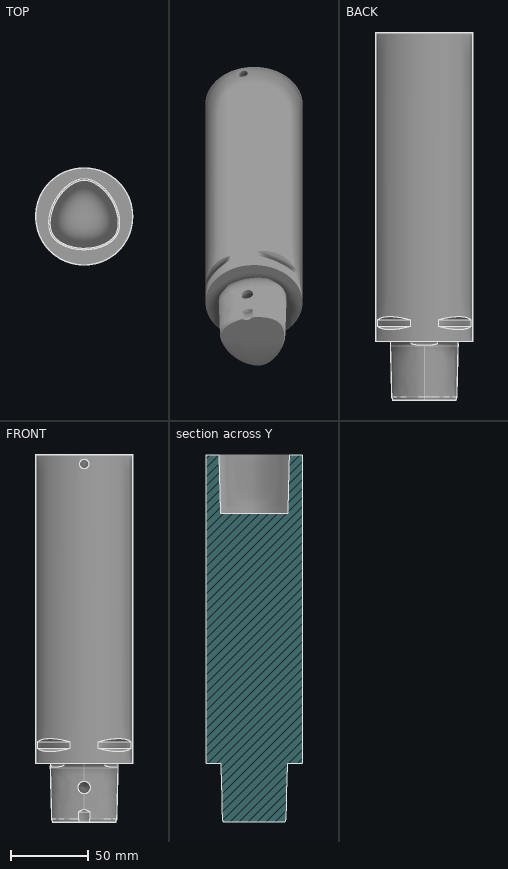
import cadquery as cq
import math

body_diameter = 63.0
body_length = 200.0
body_radius = body_diameter / 2

lobe_eccentricity = 1.4
half_outline_steps = 24
cone_taper = 1 / 20

shank_length = 38.0
shank_width = 44.0
collar_length = 3.0
tip_chamfer_height = 2.0
tip_chamfer_inset = 0.7

relief_radius = 22.1
relief_height = 2.2
relief_corner_radius = 1.2

socket_width = 46.0
socket_depth = 38.0

slot_floor_radius = 27.75
slot_floor_bottom = 9.9
slot_floor_top = 14.0
slot_wall_angle = 30.0
slot_mouth_clearance = 1.0

drill_point_angle = 118.0
drill_overrun = 3.0
coding_hole_diameter = 6.0
coding_hole_drop = 6.0
coding_hole_depth = 4.0
shank_hole_diameter = 8.0
shank_hole_drop = 15.5
shank_hole_depth = 7.0
notch_diameter = 8.2
notch_depth = 6.7
notch_axis_y = -21.5


def lobed_point(width, z, angle):
    """Point of the polygon curve; the flat towards -Y is at angle 0, the +Y lobe at pi."""
    along = width / 2 * math.sin(angle)
    along += lobe_eccentricity * (math.sin(4 * angle) + 2 * math.sin(2 * angle))
    across = width / 2 * math.cos(angle)
    across += lobe_eccentricity * (math.cos(4 * angle) - 2 * math.cos(2 * angle))
    return cq.Vector(along, -across, z)


def lobed_outline(width, z):
    """Closed three-lobed curve of near-constant width, in two mirrored halves."""
    halves = []
    for half_start in (0, math.pi):
        angles = [half_start + math.pi * i / half_outline_steps for i in range(half_outline_steps + 1)]
        halves.append(cq.Edge.makeSpline([lobed_point(width, z, angle) for angle in angles]))
    return cq.Wire.assembleEdges(halves)


def lobed_frustum(low_width, low_z, high_width, high_z):
    outlines = [lobed_outline(low_width, low_z), lobed_outline(high_width, high_z)]
    return cq.Workplane(cq.Solid.makeLoft(outlines, True))


def drilled_hole(diameter, depth):
    """Drill shape along +Z from the origin, with a conical point beyond the full-diameter depth."""
    radius = diameter / 2
    point_height = radius / math.tan(math.radians(drill_point_angle / 2))
    return (
        cq.Workplane("YZ")
        .moveTo(0, -drill_overrun)
        .lineTo(radius, -drill_overrun)
        .lineTo(radius, depth)
        .lineTo(0, depth + point_height)
        .close()
        .revolve(360, (0, 0, 0), (0, 1, 0))
    )


def make_shank():
    chamfer_top = tip_chamfer_height - shank_length
    cone_width = shank_width - cone_taper * (-collar_length - chamfer_top)
    collar = lobed_frustum(shank_width, -collar_length, shank_width, 0)
    cone = lobed_frustum(cone_width, chamfer_top, shank_width, -collar_length)
    tip = lobed_frustum(cone_width - 2 * tip_chamfer_inset, -shank_length, cone_width, chamfer_top)
    relief = (
        cq.Workplane("XY", origin=(0, 0, -relief_height))
        .circle(body_radius)
        .circle(relief_radius)
        .extrude(relief_height)
        .edges("<Z")
        .edges(cq.selectors.RadiusNthSelector(0))
        .fillet(relief_corner_radius)
    )
    return collar.cut(relief).union(cone).union(tip)


def make_socket():
    floor_width = socket_width - cone_taper * socket_depth
    return lobed_frustum(floor_width, body_length - socket_depth, socket_width, body_length)


def make_gripper_slot(angle):
    """Slot with a flat floor and walls that flare outwards."""
    mouth_radius = body_radius + slot_mouth_clearance
    flare_reach = mouth_radius - slot_floor_radius
    flare_rise = flare_reach * math.tan(math.radians(slot_wall_angle))
    return (
        cq.Workplane("XZ")
        .moveTo(slot_floor_radius, slot_floor_bottom)
        .lineTo(mouth_radius, slot_floor_bottom - flare_rise)
        .lineTo(mouth_radius, slot_floor_top + flare_rise)
        .lineTo(slot_floor_radius, slot_floor_top)
        .close()
        .extrude(body_radius, both=True)
        .rotate((0, 0, 0), (0, 0, 1), angle)
    )


def make_coding_hole():
    return (
        cq.Workplane("XZ", origin=(0, -body_radius, body_length - coding_hole_drop))
        .circle(coding_hole_diameter / 2)
        .extrude(-coding_hole_depth)
    )


def make_shank_hole():
    flat_y = lobe_eccentricity - shank_width / 2
    drill = drilled_hole(shank_hole_diameter, shank_hole_depth)
    return drill.rotate((0, 0, 0), (1, 0, 0), -90).translate((0, flat_y, -shank_hole_drop))


def make_tip_notch():
    return drilled_hole(notch_diameter, notch_depth).translate((0, notch_axis_y, -shank_length))


result = cq.Workplane("XY").circle(body_radius).extrude(body_length)
result = result.union(make_shank())
result = result.cut(make_socket())
for slot_angle in (45, 135, 225, 315):
    result = result.cut(make_gripper_slot(slot_angle))
result = result.cut(make_coding_hole())
result = result.cut(make_shank_hole())
result = result.cut(make_tip_notch())